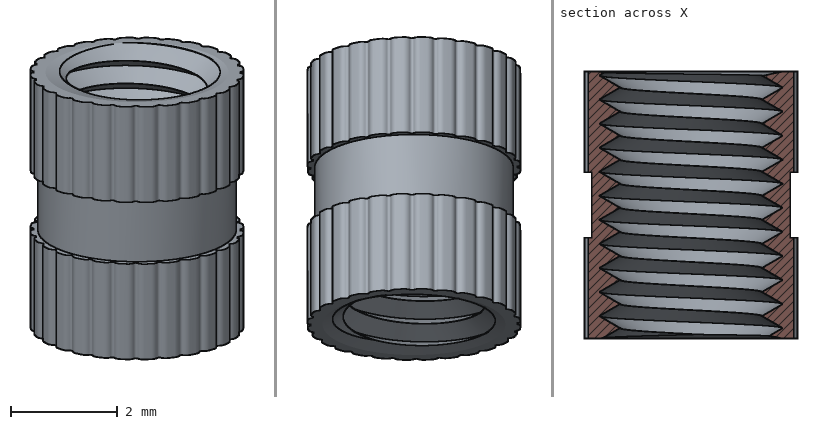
import cadquery as cq
import math

length = 5.0
knurl_diameter = 4.0
neck_diameter = 3.72
band_height = 1.89

tooth_count = 28
groove_floor_diameter = 3.86
groove_radius = 0.05
tooth_edge_radius = 0.14

bore_diameter = 2.65
thread_pitch = 0.45
thread_angle = 60.0
crest_flat = 0.005
crest_angle = -93.0
thread_overlap = 0.0025
core_overrun = 1.5

countersink_diameter = 3.425
countersink_depth = 0.08

bore_radius = bore_diameter / 2
countersink_radius = countersink_diameter / 2
neck_radius = neck_diameter / 2


def polar(radius, angle):
    return (radius * math.cos(angle), radius * math.sin(angle))


def point_between(start, end, distance):
    """Point at the given distance from start on the line towards end."""
    share = distance / math.dist(start, end)
    return tuple(a + share * (b - a) for a, b in zip(start, end))


def knurl_profile():
    """Closed outline of arcs: groove floor, tooth edge, tooth top, tooth edge, repeated."""
    outer_radius = knurl_diameter / 2
    floor_radius = groove_floor_diameter / 2
    tooth_step = 2 * math.pi / tooth_count

    groove_center_radius = floor_radius + groove_radius
    edge_center_radius = outer_radius - tooth_edge_radius
    center_distance = groove_radius + tooth_edge_radius
    center_angle = math.acos(
        (groove_center_radius**2 + edge_center_radius**2 - center_distance**2)
        / (2 * groove_center_radius * edge_center_radius)
    )
    groove_center = polar(groove_center_radius, 0)
    edge_center = polar(edge_center_radius, center_angle)
    tangent_point = point_between(groove_center, edge_center, groove_radius)
    tangent_radius = math.hypot(*tangent_point)
    tangent_angle = math.atan2(tangent_point[1], tangent_point[0])

    profile = cq.Workplane("XY").moveTo(*polar(tangent_radius, -tangent_angle))
    for tooth in range(tooth_count):
        groove = tooth * tooth_step
        next_groove = groove + tooth_step
        profile = (
            profile.threePointArc(polar(floor_radius, groove), polar(tangent_radius, groove + tangent_angle))
            .radiusArc(polar(outer_radius, groove + center_angle), -tooth_edge_radius)
            .radiusArc(polar(outer_radius, next_groove - center_angle), -outer_radius)
            .radiusArc(polar(tangent_radius, next_groove - tangent_angle), -tooth_edge_radius)
        )
    return profile.close()


def knurled_bands():
    """Two equal knurled rings that fit around the neck, flush with the ends."""
    neck_hole = cq.Workplane("XY").circle(neck_radius).extrude(band_height)
    bottom_band = knurl_profile().extrude(band_height).cut(neck_hole)
    return bottom_band.add(bottom_band.translate((0, 0, length - band_height)))


def thread_groove():
    """Right-handed V groove that runs out past both ends of the part."""
    flank_slope = math.tan(math.radians(thread_angle / 2))
    half_width = (thread_pitch - crest_flat) / 2
    root_radius = bore_radius + half_width / flank_slope
    inner_radius = bore_radius - thread_overlap
    inner_half_width = half_width + thread_overlap * flank_slope

    top_groove = length - countersink_depth - thread_pitch / 2
    turns_below = math.ceil(top_groove / thread_pitch) + 1
    start_height = top_groove - turns_below * thread_pitch
    helix_height = (turns_below + 2) * thread_pitch

    helix = cq.Workplane("XY").add(cq.Wire.makeHelix(thread_pitch, helix_height, bore_radius))
    groove = (
        cq.Workplane("XZ")
        .polyline([(inner_radius, -inner_half_width), (root_radius, 0), (inner_radius, inner_half_width)])
        .close()
        .sweep(helix, isFrenet=True)
    )
    return groove.rotate((0, 0, 0), (0, 0, 1), crest_angle).translate((0, 0, start_height))


def threaded_core():
    """Threaded rod that fills the hole and is longer than the part at both ends."""
    rod = cq.Workplane("XY").circle(bore_radius).extrude(length + 2 * core_overrun)
    return rod.translate((0, 0, -core_overrun)).union(thread_groove(), clean=False)


def top_countersink():
    """Cone that goes on below the bore edge, so that it passes through the crests."""
    cone_slope = countersink_depth / (countersink_radius - bore_radius)
    cone_height = countersink_radius * cone_slope
    return (
        cq.Workplane("XZ")
        .polyline([(0, length), (countersink_radius, length), (0, length - cone_height)])
        .close()
        .revolve(360, (0, 0), (0, 1))
    )


def threaded_sleeve():
    """Plain cylinder of the neck diameter with the thread and both countersinks cut into it."""
    top_cone = top_countersink()
    bottom_cone = top_cone.mirror("XY", (0, 0, length / 2))
    sleeve = cq.Workplane("XY").circle(neck_radius).extrude(length)
    for cutter in (threaded_core(), top_cone, bottom_cone):
        sleeve = sleeve.cut(cutter, clean=False)
    return sleeve


insert = threaded_sleeve().union(knurled_bands(), glue=True)
result = cq.Workplane(insert.solids().val())